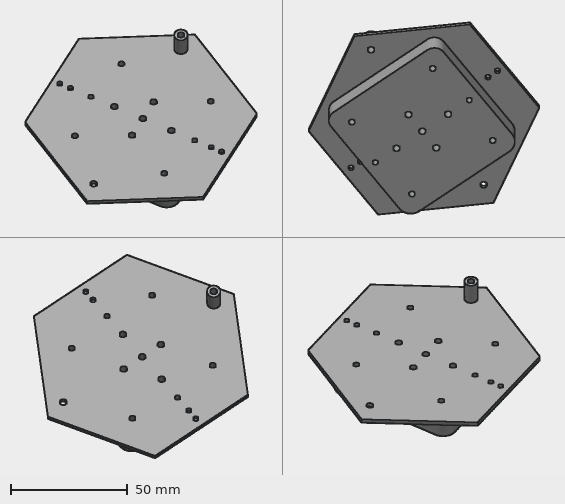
import cadquery as cq

plate_width = 85.9
plate_length = 99.6
plate_side = plate_length / 2
plate_thickness = 2.1

block_center_x = 0.9
block_size = 60.0
block_height = 10.0
front_corner_radius = 6.0
back_corner_radius = 5.0

post_diameter = 5.8
post_height = 10.0
post_x = -1.8
post_y = 40.35

large_hole = 2.9
corner_hole = 2.6
row_hole = 2.3
cross_reach_x = 13.7
cross_reach_y = 10.0
corner_offset = 21.5
row_offsets = [-40.1, -35.0, -25.0, 25.0, 33.0, 38.0]


def make_plate():
    half_width = plate_width / 2
    half_length = plate_length / 2
    half_side = plate_side / 2
    outline = [
        (0, half_length),
        (half_width, half_side),
        (half_width, -half_side),
        (0, -half_length),
        (-half_width, -half_side),
        (-half_width, half_side),
    ]
    return cq.Workplane("XY").polyline(outline).close().extrude(-plate_thickness)


def make_block():
    block = (
        cq.Workplane("XY", origin=(block_center_x, 0, -plate_thickness))
        .rect(block_size, block_size)
        .extrude(-block_height)
    )
    block = block.faces("<Y").edges("|Z").fillet(front_corner_radius)
    return block.faces(">Y").edges("|Z").fillet(back_corner_radius)


def make_post():
    return cq.Workplane("XY").center(post_x, post_y).circle(post_diameter / 2).extrude(post_height)


def drill(body, points, diameter):
    depth = post_height + plate_thickness + block_height
    drills = (
        cq.Workplane("XY", origin=(0, 0, post_height))
        .pushPoints(points)
        .circle(diameter / 2)
        .extrude(-depth)
    )
    return body.cut(drills)


cross_points = [(block_center_x + x, 0) for x in (-cross_reach_x, 0, cross_reach_x)]
cross_points += [(block_center_x, y) for y in (-cross_reach_y, cross_reach_y)]
post_points = [(post_x, post_y), (post_x, -post_y)]
corner_points = [
    (block_center_x + x, y)
    for x in (-corner_offset, corner_offset)
    for y in (-corner_offset, corner_offset)
]
row_points = [(block_center_x + x, 0) for x in row_offsets]

result = make_plate().union(make_block()).union(make_post())
result = drill(result, cross_points + post_points, large_hole)
result = drill(result, corner_points, corner_hole)
result = drill(result, row_points, row_hole)